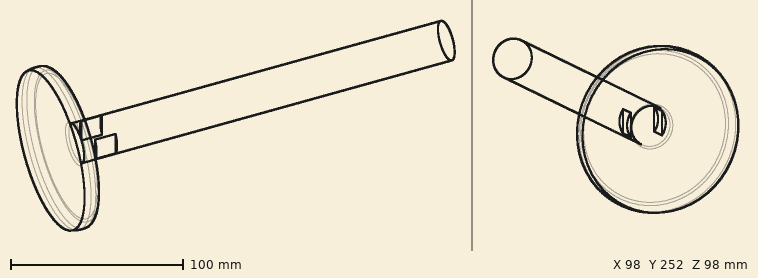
import cadquery as cq
import math

total_length = 252.0
head_radius = 98.0 / 2
shaft_radius = 24.0 / 2

base_inset = 0.8
lower_rim_height = 3.8
band_top = 6.8
shoulder_radius = 3.3
cone_base_radius = 43.8
cone_angle = math.radians(9.9)
neck_fillet = 1.5

across_flats = 19.2
flat_start = 24.0
flat_length = 13.0

base_y = -total_length / 2
end_y = total_length / 2


def make_body():
    """Revolve the half section of head and shaft, then round the neck."""
    shoulder_center_x = head_radius - shoulder_radius
    band_top_y = base_y + band_top
    ledge_y = band_top_y + shoulder_radius
    diagonal_reach = shoulder_radius * math.sqrt(0.5)
    shoulder_middle = (shoulder_center_x + diagonal_reach, band_top_y + diagonal_reach)
    neck_y = ledge_y + (cone_base_radius - shaft_radius) * math.tan(cone_angle)

    profile = (
        cq.Workplane("XY")
        .moveTo(0, base_y)
        .lineTo(head_radius - base_inset, base_y)
        .lineTo(head_radius, base_y + lower_rim_height)
        .lineTo(head_radius, band_top_y)
        .threePointArc(shoulder_middle, (shoulder_center_x, ledge_y))
        .lineTo(cone_base_radius, ledge_y)
        .lineTo(shaft_radius, neck_y)
        .lineTo(shaft_radius, end_y)
        .lineTo(0, end_y)
        .close()
    )
    body = profile.revolve(360, (0, 0, 0), (0, 1, 0))
    neck_selector = cq.selectors.BoxSelector(
        (-head_radius, neck_y - neck_fillet, -head_radius),
        (head_radius, neck_y + neck_fillet, head_radius),
    )
    neck_edge = body.edges("%CIRCLE").edges(neck_selector)
    return neck_edge.fillet(neck_fillet)


def make_flat_cutter(side):
    """Block that cuts one flat on the +X (side=1) or -X (side=-1) face."""
    cut_depth = shaft_radius - across_flats / 2
    block_width = 2 * cut_depth
    return cq.Workplane("XY").box(block_width, flat_length, 2 * shaft_radius).translate(
        (side * (across_flats + block_width) / 2, base_y + flat_start + flat_length / 2, 0)
    )


result = make_body()
for side in (-1, 1):
    result = result.cut(make_flat_cutter(side))